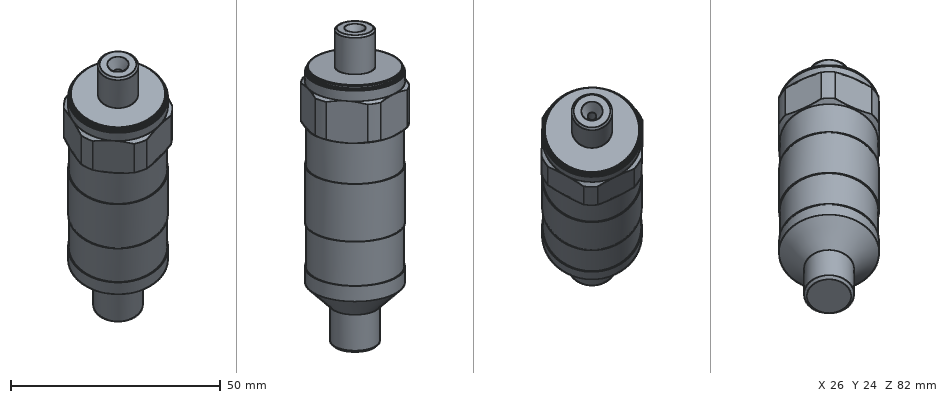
import cadquery as cq
import math

TOTAL_HEIGHT = 82.0
STUB_TOP = 10.0
COLLAR_BOTTOM = 16.0
COLLAR_TOP = 20.0
SLEEVE_BOTTOM = 31.5
SLEEVE_TOP = 46.5
HEX_BOTTOM = 57.0
HEX_TOP = 68.2
BODY_TOP = 72.0

STUB_DIAMETER = 12.0
BODY_DIAMETER = 24.0
NECK_DIAMETER = 23.5
LIP_DIAMETER = 23.0
POST_DIAMETER = 9.73

STUB_CHAMFER = 0.7
POST_CHAMFER = 0.5
LIP_CHAMFER = 0.25
LIP_HEIGHT = 1.0
SHOULDER_CHAMFER = 0.25

HEX_SIDES = 6
ACROSS_FLATS = 24.0
HEX_CORNER_DIAMETER = 26.0
HEX_CHAMFER_DIAMETER = NECK_DIAMETER
HEX_CHAMFER_ANGLE = 30.0

SEAT_DIAMETER = 5.1
SEAT_ANGLE = 60.0
BORE_DIAMETER = 2.0
BORE_DEPTH = TOTAL_HEIGHT - BODY_TOP


def revolve_profile(points):
    """Turn a closed profile of (radius, height) points around the Z axis."""
    return cq.Workplane("XZ").polyline(points).close().revolve(360, (0, 0, 0), (0, 1, 0))


def turned_body():
    """Stepped round body from the lower stub to the upper post."""
    stub = STUB_DIAMETER / 2
    body = BODY_DIAMETER / 2
    neck = NECK_DIAMETER / 2
    lip = LIP_DIAMETER / 2
    post = POST_DIAMETER / 2
    lip_bottom = BODY_TOP - LIP_HEIGHT
    hex_middle = (HEX_BOTTOM + HEX_TOP) / 2
    return revolve_profile([
        (0, 0),
        (stub - STUB_CHAMFER, 0),
        (stub, STUB_CHAMFER),
        (stub, STUB_TOP),
        (body, COLLAR_BOTTOM),
        (body, COLLAR_TOP),
        (neck, COLLAR_TOP),
        (neck, SLEEVE_BOTTOM),
        (body, SLEEVE_BOTTOM),
        (body, SLEEVE_TOP),
        (neck, SLEEVE_TOP),
        (neck, hex_middle),
        (body, hex_middle),
        (body, lip_bottom - SHOULDER_CHAMFER),
        (body - SHOULDER_CHAMFER, lip_bottom),
        (lip - LIP_CHAMFER, lip_bottom),
        (lip, lip_bottom + LIP_CHAMFER),
        (lip, BODY_TOP - LIP_CHAMFER),
        (lip - LIP_CHAMFER, BODY_TOP),
        (post, BODY_TOP),
        (post, TOTAL_HEIGHT - POST_CHAMFER),
        (post - POST_CHAMFER, TOTAL_HEIGHT),
        (0, TOTAL_HEIGHT),
    ])


def wrench_hex():
    """Hexagon with rounded corners and conical chamfers at both ends."""
    corner_to_corner = ACROSS_FLATS / math.cos(math.pi / HEX_SIDES)
    prism = (
        cq.Workplane("XY", origin=(0, 0, HEX_BOTTOM))
        .polygon(HEX_SIDES, corner_to_corner)
        .extrude(HEX_TOP - HEX_BOTTOM)
    )
    end_radius = HEX_CHAMFER_DIAMETER / 2
    corner_radius = HEX_CORNER_DIAMETER / 2
    drop = (corner_radius - end_radius) * math.tan(math.radians(HEX_CHAMFER_ANGLE))
    envelope = revolve_profile([
        (0, HEX_BOTTOM),
        (end_radius, HEX_BOTTOM),
        (corner_radius, HEX_BOTTOM + drop),
        (corner_radius, HEX_TOP - drop),
        (end_radius, HEX_TOP),
        (0, HEX_TOP),
    ])
    return prism.intersect(envelope)


def seat_and_bore():
    """Conical seat narrowing into a blind bore, open at the top of the post."""
    seat = SEAT_DIAMETER / 2
    bore = BORE_DIAMETER / 2
    seat_depth = (seat - bore) / math.tan(math.radians(SEAT_ANGLE / 2))
    bore_bottom = TOTAL_HEIGHT - BORE_DEPTH
    return revolve_profile([
        (0, bore_bottom),
        (bore, bore_bottom),
        (bore, TOTAL_HEIGHT - seat_depth),
        (seat, TOTAL_HEIGHT),
        (0, TOTAL_HEIGHT),
    ])


result = turned_body().union(wrench_hex()).cut(seat_and_bore())